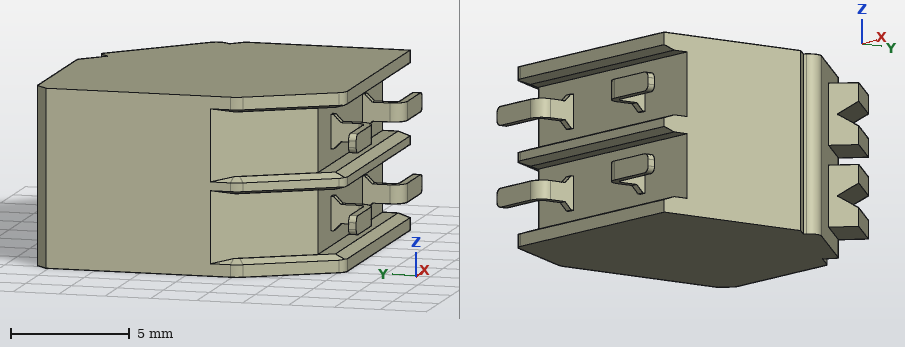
import cadquery as cq
import math

WIDTH = 12.7
OVERALL_DEPTH = 13.82
HEIGHT = 7.7

POLE_PITCH = 3.5
POLE_CENTRES = (-POLE_PITCH / 2, POLE_PITCH / 2)

HOUSING_DEPTH = 12.94
BACK_CHAMFER = 0.53
BUTTON_FACE_START = 6.95
BUTTON_FACE_ROUND = 0.35
SLANT_RISE = 4.1
SLANT_ANGLE = math.radians(60)
SLANT_LEFT_ROUND = 1.02
SLANT_FRONT_ROUND = 0.51

RECESS_DEPTH = 1.2
RECESS_LEFT_END = 5.25
RECESS_OPENING = 3.12
FIN_BEVEL_WIDTH = 0.53
FIN_BEVEL_HEIGHT = 0.18
FIN_ROOT_DEPTH = 6.22

RIDGE_START = 1.46
RIDGE_END = 7.35
RIDGE_HEIGHT = 0.69
RIDGE_START_ROUND = 0.21
RIDGE_END_ROUND = 0.55
BUTTON_START = 1.58
BUTTON_LENGTH = 3.01
BUTTON_THICKNESS = 2.65
GROOVE_WIDTH = 1.05
GROOVE_HALF_ANGLE = math.radians(30)

PIN_DROP = 0.61
PIN_THICKNESS = 0.33
PIN_WIDTH = 0.82
PIN_FLARE_WIDTH = 1.46
PIN_FLARE_START = 0.76
PIN_BEND_RADIUS = 0.26
PIN_FOOT_LENGTH = 2.95
PIN_TIP_ROUND = 0.26
PIN_LEFT_TIP = 1.82
PIN_RIGHT_TIP = 12.38
PIN_EMBED = 0.14

BUTTON_TIP = OVERALL_DEPTH - PIN_DROP
BUTTON_TOP = (BUTTON_TIP - HOUSING_DEPTH) * math.sqrt(2) + BUTTON_START
BUTTON_FACE_END = HOUSING_DEPTH - (WIDTH - BUTTON_FACE_START)

BUTTON_FACE = cq.Plane(origin=(BUTTON_FACE_START, HOUSING_DEPTH, 0), xDir=(1, -1, 0), normal=(0, 0, 1))


def near(x, y):
    """Select the corner or upright edge closest to (x, y)."""
    return cq.selectors.NearestToPointSelector((x, y, 0))


def slant_corners(inset):
    """Left and front corner of the slanted side after moving all sides inwards."""
    moved_rise = SLANT_RISE + inset / math.cos(SLANT_ANGLE)
    slope = math.tan(SLANT_ANGLE)
    return (inset, moved_rise - inset * slope), ((moved_rise - inset) / slope, inset)


def housing_outline():
    left_corner, front_corner = slant_corners(0)
    points = [
        left_corner,
        front_corner,
        (WIDTH, 0),
        (WIDTH, BUTTON_FACE_END),
        (BUTTON_FACE_START, HOUSING_DEPTH),
        (BACK_CHAMFER, HOUSING_DEPTH),
        (0, HOUSING_DEPTH - BACK_CHAMFER),
        left_corner,
    ]
    outline = cq.Sketch().polygon(points)
    outline = outline.vertices(near(*left_corner)).fillet(SLANT_LEFT_ROUND).reset()
    outline = outline.vertices(near(*front_corner)).fillet(SLANT_FRONT_ROUND).reset()
    face_corner = near(BUTTON_FACE_START, HOUSING_DEPTH)
    return outline.vertices(face_corner).fillet(BUTTON_FACE_ROUND).reset()


def housing():
    return cq.Workplane().placeSketch(housing_outline()).extrude(HEIGHT / 2, both=True)


def fin_outline(inset):
    """Front part of the housing with a sharp front corner; left, slanted and front sides move inwards."""
    left_corner, front_corner = slant_corners(inset)
    points = [
        left_corner,
        front_corner,
        (WIDTH, inset),
        (WIDTH, FIN_ROOT_DEPTH),
        (inset, FIN_ROOT_DEPTH),
        left_corner,
    ]
    outline = cq.Sketch().polygon(points)
    return outline.vertices(near(*left_corner)).fillet(SLANT_LEFT_ROUND - inset).reset()


def recess(centre):
    """Space in front of one pole, between two fins."""
    front_x = (RECESS_LEFT_END - RECESS_DEPTH) / math.tan(SLANT_ANGLE)
    return (
        cq.Workplane(origin=(0, 0, centre))
        .polyline([
            (0, 0),
            (WIDTH, 0),
            (WIDTH, RECESS_DEPTH),
            (front_x, RECESS_DEPTH),
            (0, RECESS_LEFT_END),
        ])
        .close()
        .extrude(RECESS_OPENING / 2, both=True)
    )


def fin_bevel(centre, side):
    """Bevelled layer on the inner face of the fin above (side 1) or below (side -1) a pole.

    Its bevels meet in a sharp mitre, which the rounded front corner of the housing cuts off.
    """
    wide_end = fin_outline(0)
    narrow_end = fin_outline(FIN_BEVEL_WIDTH).moved(cq.Location(cq.Vector(0, 0, -side * FIN_BEVEL_HEIGHT)))
    layer = cq.Workplane().placeSketch(wide_end, narrow_end).loft(ruled=True)
    return layer.translate((0, 0, centre + side * RECESS_OPENING / 2)).intersect(housing())


def ridge():
    outline = cq.Sketch().polygon([
        (RIDGE_START, -RIDGE_HEIGHT),
        (RIDGE_END, -RIDGE_HEIGHT),
        (RIDGE_END, RIDGE_HEIGHT),
        (RIDGE_START, RIDGE_HEIGHT),
        (RIDGE_START, -RIDGE_HEIGHT),
    ])
    outline = outline.vertices(near(RIDGE_START, RIDGE_HEIGHT)).fillet(RIDGE_START_ROUND).reset()
    outline = outline.vertices(near(RIDGE_END, RIDGE_HEIGHT)).fillet(RIDGE_END_ROUND).reset()
    return cq.Workplane(BUTTON_FACE).placeSketch(outline).extrude(HEIGHT / 2, both=True)


def button(centre):
    """Button with a V groove along its top."""
    half_thickness = BUTTON_THICKNESS / 2
    half_groove = GROOVE_WIDTH / 2
    groove_bottom = BUTTON_TOP - half_groove / math.tan(GROOVE_HALF_ANGLE)
    section = cq.Plane(
        origin=BUTTON_FACE.toWorldCoords((BUTTON_START, 0, centre)),
        xDir=(1, 1, 0),
        normal=(1, -1, 0),
    )
    return (
        cq.Workplane(section)
        .polyline([
            (0, -half_thickness),
            (BUTTON_TOP, -half_thickness),
            (BUTTON_TOP, -half_groove),
            (groove_bottom, 0),
            (BUTTON_TOP, half_groove),
            (BUTTON_TOP, half_thickness),
            (0, half_thickness),
        ])
        .close()
        .extrude(BUTTON_LENGTH)
    )


def pin(tip_x, direction, centre):
    """Bent pin whose foot runs from tip_x along X in the given direction (1 or -1)."""
    foot_back = -PIN_DROP + PIN_THICKNESS
    leg_end = RECESS_DEPTH + PIN_EMBED
    strip = (
        cq.Workplane()
        .polyline([
            (0, -PIN_DROP),
            (PIN_FOOT_LENGTH, -PIN_DROP),
            (PIN_FOOT_LENGTH, leg_end),
            (PIN_FOOT_LENGTH - PIN_THICKNESS, leg_end),
            (PIN_FOOT_LENGTH - PIN_THICKNESS, foot_back),
            (0, foot_back),
        ])
        .close()
        .extrude(PIN_FLARE_WIDTH / 2, both=True)
    )
    inner_corner = near(PIN_FOOT_LENGTH - PIN_THICKNESS, foot_back)
    outer_corner = near(PIN_FOOT_LENGTH, -PIN_DROP)
    strip = strip.edges("|Z").edges(inner_corner).fillet(PIN_BEND_RADIUS)
    strip = strip.edges("|Z").edges(outer_corner).fillet(PIN_BEND_RADIUS + PIN_THICKNESS)

    half_width = PIN_WIDTH / 2
    half_flare = PIN_FLARE_WIDTH / 2
    flare_end = PIN_FLARE_START + half_flare - half_width
    width_profile = (
        cq.Workplane("YZ")
        .polyline([
            (-PIN_DROP, -half_width),
            (PIN_FLARE_START, -half_width),
            (flare_end, -half_flare),
            (leg_end, -half_flare),
            (leg_end, half_flare),
            (flare_end, half_flare),
            (PIN_FLARE_START, half_width),
            (-PIN_DROP, half_width),
        ])
        .close()
        .extrude(PIN_FOOT_LENGTH)
    )
    strip = strip.intersect(width_profile).edges("|Y and <X").fillet(PIN_TIP_ROUND)
    if direction < 0:
        strip = strip.mirror("YZ")
    return strip.translate((tip_x, 0, centre))


result = housing().union(ridge())
for pole_centre in POLE_CENTRES:
    result = result.cut(recess(pole_centre))
for pole_centre in POLE_CENTRES:
    result = result.union(fin_bevel(pole_centre, 1))
    result = result.union(fin_bevel(pole_centre, -1))
    result = result.union(button(pole_centre))
    result = result.union(pin(PIN_LEFT_TIP, 1, pole_centre))
    result = result.union(pin(PIN_RIGHT_TIP, -1, pole_centre))